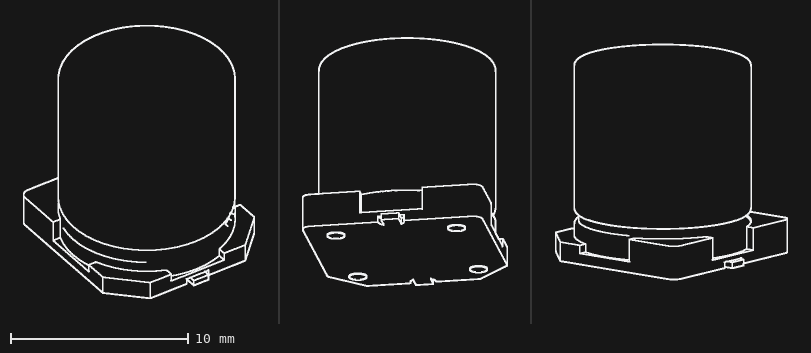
import cadquery as cq
import math

overall_height = 11.15
overall_length = 11.0

base_width = 10.3
foot_height = 0.05
foot_diameter = 1.0
foot_offset = 3.46
base_bottom = foot_height
high_corner_height = 1.92
low_corner_height = 1.1
window_floor_height = 0.64
window_width = 3.59
corner_radius = 0.55
corner_chamfer = 1.92

can_radius = 5.0
rim_radius = 0.26
flange_radius = 0.25
groove_radius = 0.23
neck_radius = 4.49
flange_top = 1.97

lead_width = 1.0
lead_thickness = 0.35
lead_pocket_radius = 0.75

half_width = base_width / 2
quarter_arc_inset = 1 - math.sqrt(0.5)


def make_base():
    """Square base, rounded at -X and chamfered at +X, with a window in the middle of each side."""
    base = cq.Workplane("XY").workplane(offset=base_bottom).rect(base_width, base_width)
    base = base.extrude(high_corner_height)
    base = base.edges("|Z and <X").fillet(corner_radius)
    base = base.edges("|Z and >X").chamfer(corner_chamfer)

    low_corners = (
        cq.Workplane("XY")
        .workplane(offset=base_bottom + low_corner_height)
        .center(half_width / 2, 0)
        .rect(half_width, base_width)
        .extrude(high_corner_height)
    )
    window_plane = cq.Workplane("XY").workplane(offset=base_bottom + window_floor_height)
    slot_along_x = window_plane.rect(base_width, window_width).extrude(high_corner_height)
    slot_along_y = window_plane.rect(window_width, base_width).extrude(high_corner_height)
    can_seat = window_plane.circle(can_radius).extrude(high_corner_height)
    return base.cut(low_corners).cut(slot_along_x).cut(slot_along_y).cut(can_seat)


def make_can():
    """Revolved can with rounded rims and a half-round rolled groove above its bottom flange."""
    can_bottom = base_bottom + window_floor_height
    flange_top_z = base_bottom + flange_top
    groove_z = flange_top_z + groove_radius
    body_bottom = flange_top_z + 2 * groove_radius
    flange_edge = can_radius - flange_radius
    rim_edge = can_radius - rim_radius
    groove_mouth = neck_radius + groove_radius
    flange_inset = flange_radius * quarter_arc_inset
    rim_inset = rim_radius * quarter_arc_inset

    profile = (
        cq.Workplane("XZ")
        .moveTo(0, can_bottom)
        .lineTo(can_radius, can_bottom)
        .lineTo(can_radius, flange_top_z - flange_radius)
        .threePointArc((can_radius - flange_inset, flange_top_z - flange_inset), (flange_edge, flange_top_z))
        .lineTo(groove_mouth, flange_top_z)
        .threePointArc((neck_radius, groove_z), (groove_mouth, body_bottom))
        .lineTo(rim_edge, body_bottom)
        .threePointArc((can_radius - rim_inset, body_bottom + rim_inset), (can_radius, body_bottom + rim_radius))
        .lineTo(can_radius, overall_height - rim_radius)
        .threePointArc((can_radius - rim_inset, overall_height - rim_inset), (rim_edge, overall_height))
        .lineTo(0, overall_height)
        .close()
    )
    full_turn = 360
    return profile.revolve(full_turn, (0, 0, 0), (0, 1, 0))


def make_lead_pockets():
    """Half-round recesses under the base where the leads come out."""
    return (
        cq.Workplane("XY")
        .workplane(offset=base_bottom)
        .pushPoints([(-half_width, 0), (half_width, 0)])
        .circle(lead_pocket_radius)
        .extrude(lead_thickness)
    )


def make_leads():
    """Flat strip whose ends stand out at -X and +X."""
    return (
        cq.Workplane("XY")
        .workplane(offset=base_bottom)
        .rect(overall_length, lead_width)
        .extrude(lead_thickness)
    )


def make_feet():
    """Four thin round standoffs."""
    return (
        cq.Workplane("XY")
        .rect(2 * foot_offset, 2 * foot_offset, forConstruction=True)
        .vertices()
        .circle(foot_diameter / 2)
        .extrude(foot_height)
    )


result = make_base().cut(make_lead_pockets()).union(make_can()).union(make_leads()).union(make_feet())